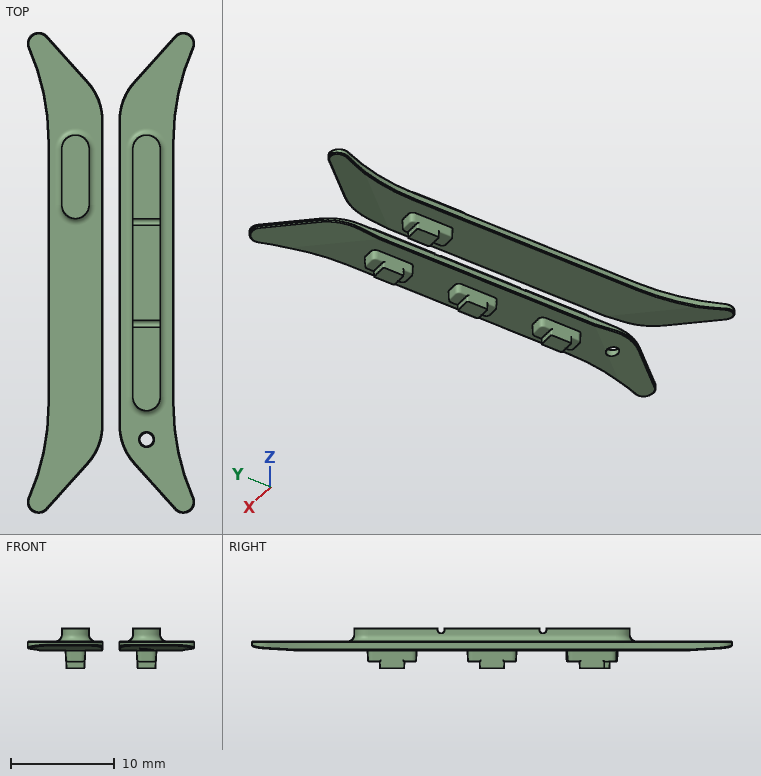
import cadquery as cq
import math

TOLERANCE = 0.05

LENGTH = 46.25
PLATE_THICKNESS = 0.9
INNER_X = 0.8
OUTER_X = 6.05
OVERALL_WIDTH = 16.05
HORN_X = OVERALL_WIDTH / 2
TIP_RADIUS = 1.05
OUTER_BEND_Y = 12.75
DIAGONAL_ANGLE = 48.0
INNER_BEND_RADIUS = 5.55
TOP_CHAMFER = 0.1
BOTTOM_CHAMFER = 0.115

RAMP_EDGE_THICKNESS = 0.4
RAMP_ANGLE = 8.7

PAD_X = (INNER_X + OUTER_X) / 2
PAD_WIDTH = 2.65
PAD_HEIGHT = 1.25
PAD_FILLET = 0.65
PAD_END_Y = 13.25
LONG_PAD_LENGTH = 2 * PAD_END_Y
SHORT_PAD_LENGTH = 8.05
GROOVE_Y = 4.9
GROOVE_RADIUS = 0.32
GROOVE_DEPTH = 0.45

PEG_PITCH = 9.6
PEG_WIDTH = 1.95
PEG_DRAFT = 3.5
BLOCK_HEIGHT = 1.05
BLOCK_CORNER_RADIUS = 0.5
BLOCK_EDGE_FILLET = 0.15
BLOCK_LENGTH = 4.75
SINGLE_BLOCK_LENGTH = 5.0
STUB_HEIGHT = 0.65
STUB_LENGTH = 2.55
STUB_CORNER_RADIUS = 0.25
SINGLE_STUB_LENGTH = 2.7
SINGLE_STUB_SHIFT = 0.45

HOLE_DIAMETER = 1.3
HOLE_Y = -16.05
HOLE_CHAMFER = 0.1


def polar(center, radius, degrees):
    """Point on a circle."""
    angle = math.radians(degrees)
    return (center[0] + radius * math.cos(angle), center[1] + radius * math.sin(angle))


def flip(point):
    """Point mirrored to the opposite end of the plate."""
    return (point[0], -point[1])


TIP_CENTER = (HORN_X - TIP_RADIUS, LENGTH / 2 - TIP_RADIUS)
DIAGONAL_NORMAL = DIAGONAL_ANGLE + 90
TIP_END = polar(TIP_CENTER, TIP_RADIUS, DIAGONAL_NORMAL)


def make_blank():
    """Flat plate with square edges."""
    rise = TIP_CENTER[1] - OUTER_BEND_Y
    run = TIP_CENTER[0] - OUTER_X
    bend_radius = (rise**2 + run**2 - TIP_RADIUS**2) / (2 * (run + TIP_RADIUS))
    bend_center = (OUTER_X + bend_radius, OUTER_BEND_Y)
    bend_angle = math.degrees(math.atan2(rise, bend_radius - run))
    outer_start = (OUTER_X, OUTER_BEND_Y)
    outer_middle = polar(bend_center, bend_radius, 180 - bend_angle / 2)
    outer_end = polar(bend_center, bend_radius, 180 - bend_angle)

    tip_middle = polar(TIP_CENTER, TIP_RADIUS, (DIAGONAL_NORMAL - bend_angle) / 2)

    slope = math.tan(math.radians(DIAGONAL_ANGLE))
    corner_y = TIP_END[1] - (TIP_END[0] - INNER_X) * slope
    setback = INNER_BEND_RADIUS * math.tan(math.radians(90 - DIAGONAL_ANGLE) / 2)
    inner_center = (INNER_X + INNER_BEND_RADIUS, corner_y - setback)
    inner_start = polar(inner_center, INNER_BEND_RADIUS, DIAGONAL_NORMAL)
    inner_middle = polar(inner_center, INNER_BEND_RADIUS, (DIAGONAL_NORMAL + 180) / 2)
    inner_end = polar(inner_center, INNER_BEND_RADIUS, 180)

    return (
        cq.Workplane("XY")
        .moveTo(*flip(outer_start))
        .lineTo(*outer_start)
        .threePointArc(outer_middle, outer_end)
        .threePointArc(tip_middle, TIP_END)
        .lineTo(*inner_start)
        .threePointArc(inner_middle, inner_end)
        .lineTo(*flip(inner_end))
        .threePointArc(flip(inner_middle), flip(inner_start))
        .lineTo(*flip(TIP_END))
        .threePointArc(flip(tip_middle), flip(outer_end))
        .threePointArc(flip(outer_middle), flip(outer_start))
        .close()
        .extrude(-PLATE_THICKNESS)
    )


def make_ramp_cutter():
    """Wedge that lies along the diagonal of the +Y horn, under the plate."""
    angle = math.radians(DIAGONAL_ANGLE)
    slope = math.tan(math.radians(RAMP_ANGLE))
    fold = (PLATE_THICKNESS - RAMP_EDGE_THICKNESS) / slope
    overrun = TIP_RADIUS
    reach = LENGTH / 3
    across = cq.Plane(
        origin=(*TIP_END, 0),
        xDir=(math.sin(angle), -math.cos(angle), 0),
        normal=(-math.cos(angle), -math.sin(angle), 0),
    )
    return (
        cq.Workplane(across)
        .moveTo(fold, -PLATE_THICKNESS)
        .lineTo(-overrun, -RAMP_EDGE_THICKNESS + overrun * slope)
        .lineTo(-overrun, -PLATE_THICKNESS)
        .close()
        .extrude(reach, both=True)
    )


def make_plate():
    """Plate with a ramp under each horn and chamfered edges."""
    cutter = make_ramp_cutter()
    plate = make_blank().cut(cutter).cut(cutter.mirror("XZ"))
    below_top = cq.selectors.BoxSelector(
        (0, -LENGTH, -2 * PLATE_THICKNESS),
        (LENGTH, LENGTH, -TOLERANCE),
        boundingbox=True,
    )
    on_bottom = cq.selectors.BoxSelector(
        (0, -LENGTH, -PLATE_THICKNESS - TOLERANCE),
        (LENGTH, LENGTH, -PLATE_THICKNESS + TOLERANCE),
        boundingbox=True,
    )
    straight = cq.selectors.TypeSelector("LINE")
    along_y = cq.selectors.ParallelDirSelector(cq.Vector(0, 1, 0))
    ramp_folds = (on_bottom & straight) - along_y
    plate = plate.edges(below_top - ramp_folds).chamfer(BOTTOM_CHAMFER)
    return plate.faces(">Z").edges().chamfer(TOP_CHAMFER)


def add_pad(plate, length):
    """Round-ended pad with a fillet where it rises from the plate."""
    pad = (
        cq.Workplane("XY")
        .center(PAD_X, PAD_END_Y - length / 2)
        .slot2D(length, PAD_WIDTH, 90)
        .extrude(PAD_HEIGHT)
    )
    half_width = PAD_WIDTH / 2 + TOLERANCE
    half_length = PAD_END_Y + TOLERANCE
    foot = cq.selectors.BoxSelector(
        (PAD_X - half_width, -half_length, -TOLERANCE),
        (PAD_X + half_width, half_length, TOLERANCE),
        boundingbox=True,
    )
    return plate.union(pad).edges(foot).fillet(PAD_FILLET)


def make_groove(y):
    """Round-bottomed cutter across the pad."""
    center_z = PAD_HEIGHT - GROOVE_DEPTH + GROOVE_RADIUS
    opening_height = 2 * (PAD_HEIGHT - center_z)
    rod = cq.Workplane("YZ").center(y, center_z).circle(GROOVE_RADIUS).extrude(OUTER_X)
    opening = (
        cq.Workplane("YZ")
        .center(y, PAD_HEIGHT)
        .rect(2 * GROOVE_RADIUS, opening_height)
        .extrude(OUTER_X)
    )
    return rod.union(opening)


def tapered_post(y, length, height, corner_radius):
    """Rounded rectangle that narrows downwards from the plate bottom."""
    return (
        cq.Workplane("XY", origin=(PAD_X, y, -PLATE_THICKNESS))
        .sketch()
        .rect(PEG_WIDTH, length)
        .vertices()
        .fillet(corner_radius)
        .finalize()
        .extrude(-height, taper=PEG_DRAFT)
    )


def make_peg(y, block_length, stub_length, stub_shift=0):
    """Tapered block whose sides run on into a shorter stub."""
    block = tapered_post(y, block_length, BLOCK_HEIGHT, BLOCK_CORNER_RADIUS)
    block = block.faces("<Z").edges().fillet(BLOCK_EDGE_FILLET)
    stub = tapered_post(y + stub_shift, stub_length, BLOCK_HEIGHT + STUB_HEIGHT, STUB_CORNER_RADIUS)
    return block.union(stub)


def make_hole_cutter():
    """Drill with a chamfered mouth at the plate top."""
    drill = (
        cq.Workplane("XY")
        .center(PAD_X, HOLE_Y)
        .circle(HOLE_DIAMETER / 2)
        .extrude(-PLATE_THICKNESS)
    )
    mouth = (
        cq.Workplane("XY")
        .center(PAD_X, HOLE_Y)
        .circle(HOLE_DIAMETER / 2 + HOLE_CHAMFER)
        .extrude(-HOLE_CHAMFER, taper=45)
    )
    return drill.union(mouth)


def make_single_key_body():
    """One short pad and one peg, mirrored to the -X side."""
    body = add_pad(make_plate(), SHORT_PAD_LENGTH)
    body = body.union(make_peg(PEG_PITCH, SINGLE_BLOCK_LENGTH, SINGLE_STUB_LENGTH, SINGLE_STUB_SHIFT))
    return body.mirror("YZ")


def make_triple_key_body():
    """Long pad split by two grooves, three pegs and a hole, on the +X side."""
    body = add_pad(make_plate(), LONG_PAD_LENGTH)
    for y in (-GROOVE_Y, GROOVE_Y):
        body = body.cut(make_groove(y))
    for y in (-PEG_PITCH, 0, PEG_PITCH):
        body = body.union(make_peg(y, BLOCK_LENGTH, STUB_LENGTH))
    return body.cut(make_hole_cutter())


single_key = make_single_key_body()
triple_key = make_triple_key_body()

result = cq.Compound.makeCompound([single_key.val(), triple_key.val()])